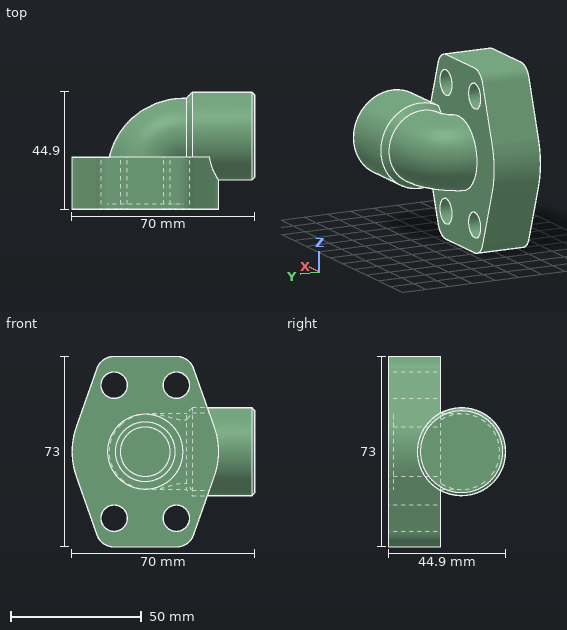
import cadquery as cq
import math

plate_height = 73.0
plate_thickness = 20.0
side_radius = 28.0
corner_radius = 7.0
corner_center_x = 11.9
corner_center_z = plate_height / 2 - corner_radius

hole_diameter = 10.0
hole_spacing_x = 23.8
hole_spacing_z = 50.9

bore_diameter = 19.0
bore_depth = plate_thickness
groove_inner_diameter = 22.85
groove_outer_diameter = 28.75
groove_depth = 2.0

outlet_axis_y = 28.0
outlet_end_x = 42.0
outlet_radius = 16.85
tube_radius = 14.5
bend_radius = 14.6
neck_length = 1.1
end_chamfer = 1.2
bend_center_y = outlet_axis_y - bend_radius


def make_plate():
    """Plate bounded by side arcs, corner arcs and their common tangents."""
    center_distance = math.hypot(corner_center_x, corner_center_z)
    center_angle = math.atan2(corner_center_z, corner_center_x)
    tangent_angle = center_angle - math.acos((side_radius - corner_radius) / center_distance)
    corner_middle_angle = (tangent_angle + math.pi / 2) / 2

    def corner_point(angle):
        return (corner_center_x + corner_radius * math.cos(angle),
                corner_center_z + corner_radius * math.sin(angle))

    side_x = side_radius * math.cos(tangent_angle)
    side_z = side_radius * math.sin(tangent_angle)
    tangent_x, tangent_z = corner_point(tangent_angle)
    middle_x, middle_z = corner_point(corner_middle_angle)
    top_z = plate_height / 2
    outline = (
        cq.Workplane("XZ")
        .moveTo(side_x, -side_z)
        .threePointArc((side_radius, 0), (side_x, side_z))
        .lineTo(tangent_x, tangent_z)
        .threePointArc((middle_x, middle_z), (corner_center_x, top_z))
        .lineTo(-corner_center_x, top_z)
        .threePointArc((-middle_x, middle_z), (-tangent_x, tangent_z))
        .lineTo(-side_x, side_z)
        .threePointArc((-side_radius, 0), (-side_x, -side_z))
        .lineTo(-tangent_x, -tangent_z)
        .threePointArc((-middle_x, -middle_z), (-corner_center_x, -top_z))
        .lineTo(corner_center_x, -top_z)
        .threePointArc((middle_x, -middle_z), (tangent_x, -tangent_z))
        .close()
    )
    return outline.extrude(-plate_thickness)


def make_bend():
    """Quarter bend turning from the port axis (+Y) to the outlet axis (+X)."""
    return (
        cq.Workplane("XZ", origin=(0, bend_center_y, 0))
        .circle(tube_radius)
        .revolve(90, (bend_radius, 0.7, 0), (bend_radius, -0.7, 0))
    )


def make_outlet():
    """Short neck, conical shoulder and chamfered outlet cylinder."""
    shoulder_x = bend_radius + neck_length
    shoulder_length = outlet_radius - tube_radius
    profile = [
        (bend_radius, 0),
        (bend_radius, tube_radius),
        (shoulder_x, tube_radius),
        (shoulder_x + shoulder_length, outlet_radius),
        (outlet_end_x - end_chamfer, outlet_radius),
        (outlet_end_x, outlet_radius - end_chamfer),
        (outlet_end_x, 0),
    ]
    return (
        cq.Workplane("XY", origin=(0, outlet_axis_y, 0))
        .polyline(profile)
        .close()
        .revolve(360, (0, 0, 0), (1, 0, 0))
    )


port_bore = cq.Workplane("XZ").circle(bore_diameter / 2).extrude(-bore_depth)
bolt_holes = (
    cq.Workplane("XZ")
    .rarray(hole_spacing_x, hole_spacing_z, 2, 2)
    .circle(hole_diameter / 2)
    .extrude(-plate_thickness)
)
seal_groove = (
    cq.Workplane("XZ")
    .circle(groove_outer_diameter / 2)
    .circle(groove_inner_diameter / 2)
    .extrude(-groove_depth)
)

result = make_plate().union(make_bend()).union(make_outlet())
result = result.cut(port_bore).cut(bolt_holes).cut(seal_groove)